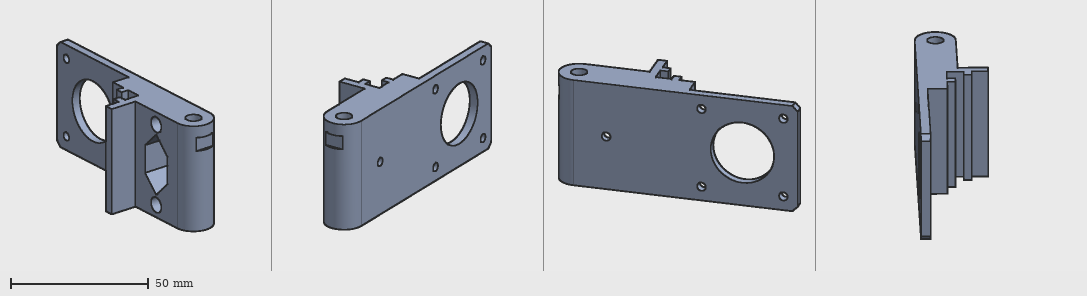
import cadquery as cq

LENGTH = 92.5
DEPTH = 26.0
HEIGHT = 42.0

PLATE_THICKNESS = 3.5
PLATE_LENGTH = HEIGHT
CORNER_CHAMFER = 2.0
MOTOR_BORE = 24.0
SCREW_DIAMETER = 3.2
SCREW_SPACING = 31.0

BODY_DEPTH = 15.0
HINGE_RADIUS = BODY_DEPTH / 2
HINGE_BORE = 6.0
HINGE_X = LENGTH - HINGE_RADIUS

STEP_DEPTH = 10.8
RIB_WIDTH = 3.0
RIB_HEIGHT = 3.05
STEP_RIB_X = 48.0
LEG_X = 57.0
LEG_THICKNESS = 3.5
LEG_RIB_DEPTH = 17.0

POCKET_X = 72.6
POCKET_DEPTH = 12.0
HEX_WIDTH = 13.0
HEX_SIDE = 11.0
PIN_DIAMETER = 6.0
PIN_OFFSET = 16.0

NOTCH_DEPTH = 1.0
NOTCH_HEIGHT = 5.3
NOTCH_Z = 13.7


def block(x, depth, length, width):
    """Full-height block whose back left edge is at x, at this depth from the back face."""
    return cq.Workplane("XY").box(length, width, HEIGHT, centered=(False, False, True)).translate(
        (x, -depth - width, 0)
    )


def front_plane(depth):
    """Plane facing -Y at this depth from the back face, with local axes X and Z."""
    return cq.Workplane("XZ", origin=(0, -depth, 0))


def round_holes(points, diameter, front, length):
    """Round holes running back from a front face for the given length."""
    return front_plane(front).pushPoints(points).circle(diameter / 2).extrude(-length)


motor_plate = block(0, 0, PLATE_LENGTH, PLATE_THICKNESS).edges("|Y and <X").chamfer(CORNER_CHAMFER)
motor_center = (PLATE_LENGTH / 2, 0)
half_spacing = SCREW_SPACING / 2
screw_points = [
    (motor_center[0] + side * half_spacing, level * half_spacing)
    for side in (-1, 1)
    for level in (-1, 1)
]

hinge = (
    cq.Workplane("XY", origin=(HINGE_X, -HINGE_RADIUS, -HEIGHT / 2))
    .circle(HINGE_RADIUS)
    .extrude(HEIGHT)
)
part = (
    motor_plate
    .union(block(PLATE_LENGTH, 0, LEG_X - PLATE_LENGTH, STEP_DEPTH))
    .union(block(LEG_X, 0, HINGE_X - LEG_X, BODY_DEPTH))
    .union(hinge)
    .union(block(LEG_X, 0, LEG_THICKNESS, DEPTH))
    .union(block(STEP_RIB_X, STEP_DEPTH, RIB_WIDTH, RIB_HEIGHT))
    .union(block(LEG_X - RIB_HEIGHT, LEG_RIB_DEPTH, RIB_HEIGHT, RIB_WIDTH))
)

part = part.cut(round_holes([motor_center], MOTOR_BORE, PLATE_THICKNESS, PLATE_THICKNESS))
part = part.cut(round_holes(screw_points, SCREW_DIAMETER, PLATE_THICKNESS, PLATE_THICKNESS))

half_width = HEX_WIDTH / 2
half_side = HEX_SIDE / 2
apex = half_side + half_width
hex_pocket = (
    front_plane(BODY_DEPTH)
    .center(POCKET_X, 0)
    .polyline([
        (0, apex),
        (half_width, half_side),
        (half_width, -half_side),
        (0, -apex),
        (-half_width, -half_side),
        (-half_width, half_side),
    ])
    .close()
    .extrude(-POCKET_DEPTH)
)
part = part.cut(hex_pocket)

pin_points = [(POCKET_X, PIN_OFFSET), (POCKET_X, -PIN_OFFSET)]
part = part.cut(round_holes([(POCKET_X, 0)], SCREW_DIAMETER, BODY_DEPTH, BODY_DEPTH))
part = part.cut(round_holes(pin_points, PIN_DIAMETER, BODY_DEPTH, POCKET_DEPTH))

hinge_bore = (
    cq.Workplane("XY", origin=(HINGE_X, -HINGE_RADIUS, -HEIGHT / 2))
    .circle(HINGE_BORE / 2)
    .extrude(HEIGHT)
)
notch = cq.Workplane("XY").box(NOTCH_DEPTH, BODY_DEPTH, NOTCH_HEIGHT).translate(
    (LENGTH - NOTCH_DEPTH / 2, -BODY_DEPTH / 2, NOTCH_Z)
)
result = part.cut(hinge_bore).cut(notch)